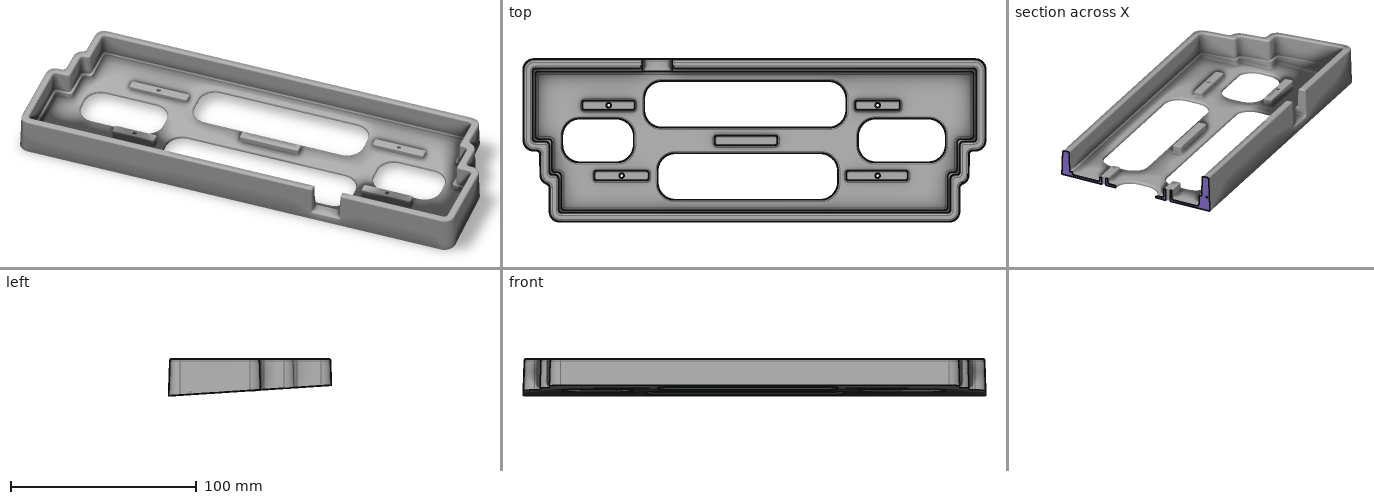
import cadquery as cq
import math

LENGTH = 249.5
WIDTH = 87.8
HEIGHT = 20.0
FRONT_LIFT = 5.7
SLOPE = FRONT_LIFT / WIDTH
OVERSHOOT = 2.5

DRAFT = 2.0
LEAN = math.tan(math.radians(DRAFT))

OUTER_RADIUS = 6.0
NOOK_RADIUS = 1.7
BACK_HALF = LENGTH / 2 + OUTER_RADIUS * SLOPE * LEAN
MIDDLE_HALF = 115.8
FRONT_HALF = 110.8
BACK_Y = WIDTH / 2
FRONT_Y = -WIDTH / 2 - FRONT_LIFT * LEAN
BACK_STEP_Y = -5.7
FRONT_STEP_Y = -23.7

RIM_ROUND = 1.0
RIM_INSET = 4.7
LEDGE_Z = 8.5
LEDGE_INSET = 6.5
CAVITY_CORNER = 2.0
FLOOR_THICKNESS = 1.5
FLOOR_ROUND = 1.5
FLOOR_EDGE_ROUND = 1.0

NOTCH_LEFT = -60.5
NOTCH_RIGHT = -44.5
NOTCH_SILL = 3.0
NOTCH_ROUND = 1.0

WINDOW_RADIUS = 9.2
WINDOWS = [
    (-59.5, 49.5, 7.0, 32.0),
    (-52.1, 45.0, -32.0, -7.0),
    (-103.5, -65.0, -11.7, 11.7),
    (56.0, 103.0, -11.7, 11.7),
]

RIB_WIDTH = 5.0
RIB_CORNER = 1.0
RIB_TOP_ROUND = 0.5
HOLE_DIAMETER = 2.42
RIBS = [
    (-92.8, -64.5, 19.0, -78.5),
    (54.5, 78.3, 19.0, 66.4),
    (-86.3, -57.1, -19.0, -71.5),
    (49.5, 82.5, -19.0, 66.4),
    (-21.5, 12.2, 0.0, None),
]


def underside_z(y):
    return (BACK_Y - y) * SLOPE


def block(left, right, front, back, bottom, top):
    box = cq.Workplane("XY").box(right - left, back - front, top - bottom, centered=False)
    return box.translate((left, front, bottom))


def above_slope(height):
    """Block that fills everything above the underside plane raised by the height."""
    profile = [
        (-WIDTH, underside_z(-WIDTH) + height),
        (WIDTH, underside_z(WIDTH) + height),
        (WIDTH, 2 * HEIGHT),
        (-WIDTH, 2 * HEIGHT),
    ]
    return cq.Workplane("YZ").polyline(profile).close().extrude(LENGTH, both=True)


def step_points(x_out, x_in, y, convex, nook):
    """Start, middle and end of the two arcs of a step on the +X side, from front to back.

    The step face lies at y. Where the step is too narrow for two quarter arcs,
    the arcs turn less and run straight into each other.
    """
    reach = convex + nook
    turn = math.acos(max(0.0, 1 - (x_out - x_in) / reach))
    rise = reach * math.sin(turn)
    y_start = y - nook + (reach - rise) * nook / reach
    y_end = y_start + rise

    def on_nook(angle):
        return (x_in + nook * (1 - math.cos(angle)), y_start + nook * math.sin(angle))

    def on_convex(angle):
        return (x_out - convex * (1 - math.cos(angle)), y_end - convex * math.sin(angle))

    nook_arc = [on_nook(0), on_nook(turn / 2), on_nook(turn)]
    convex_arc = [on_convex(turn), on_convex(turn / 2), on_convex(0)]
    return nook_arc + convex_arc


def outline(inset, convex, nook, z):
    """Closed stepped outline at height z, moved inwards by the inset."""
    back = BACK_Y - inset
    front = FRONT_Y + inset
    x_back = BACK_HALF - inset
    x_middle = MIDDLE_HALF - inset
    x_front = FRONT_HALF - inset
    bend = convex * (1 - math.sqrt(0.5))

    right = [(x_front - convex, front), (x_front - bend, front + bend), (x_front, front + convex)]
    right += step_points(x_middle, x_front, FRONT_STEP_Y + inset, convex, nook)
    right += step_points(x_back, x_middle, BACK_STEP_Y + inset, convex, nook)
    right += [(x_back, back - convex), (x_back - bend, back - bend), (x_back - convex, back)]
    points = right + [(-x, y) for x, y in reversed(right)]

    tolerance = 2.49e-06
    here = points[0]
    path = cq.Workplane("XY").workplane(offset=z).moveTo(*here)
    for start, middle, end in zip(points[0::3], points[1::3], points[2::3]):
        if math.dist(here, start) > tolerance:
            path = path.lineTo(*start)
        path = path.threePointArc(middle, end)
        here = end
    return path.close()


def make_body():
    body = outline(0, OUTER_RADIUS, NOOK_RADIUS, 0).extrude(HEIGHT, taper=DRAFT)
    return body.intersect(above_slope(0))


def make_cavity():
    """Upper cavity down to the level ledge and a smaller one below it down to the sloping floor."""
    upper = outline(RIM_INSET, CAVITY_CORNER, NOOK_RADIUS, HEIGHT).extrude(LEDGE_Z - HEIGHT, taper=DRAFT)
    lower = outline(LEDGE_INSET, CAVITY_CORNER, NOOK_RADIUS, LEDGE_Z).extrude(-LEDGE_Z, taper=DRAFT)
    lower = lower.intersect(above_slope(FLOOR_THICKNESS))
    lower = lower.faces("<Z").edges().fillet(FLOOR_ROUND)
    return upper.union(lower)


def make_notch():
    """Notch cutter with a sill parallel to the floor and rounded lower corners."""
    front = BACK_Y - LEDGE_INSET - OVERSHOOT
    cutter = block(NOTCH_LEFT, NOTCH_RIGHT, front, BACK_Y + OVERSHOOT, 0, HEIGHT + OVERSHOOT)
    cutter = cutter.intersect(above_slope(FLOOR_THICKNESS + NOTCH_SILL))
    return cutter.faces("<Z").edges("not #Y").fillet(NOTCH_ROUND)


def round_rim(body):
    """Round the rim on both sides, and the outer edge of the notch with it."""
    notch_middle = (NOTCH_LEFT + NOTCH_RIGHT) / 2
    sill_point = (notch_middle, BACK_Y, FLOOR_THICKNESS + NOTCH_SILL)
    sill = body.edges(cq.selectors.NearestToPointSelector(sill_point))
    return body.faces(">Z").edges().add(sill).fillet(RIM_ROUND)


def make_rib(left, right, y):
    """Rib with a level, rounded top that starts inside the floor."""
    rib = block(left, right, y - RIB_WIDTH / 2, y + RIB_WIDTH / 2, underside_z(y), LEDGE_Z)
    return rib.edges("|Z").fillet(RIB_CORNER).faces(">Z").edges().fillet(RIB_TOP_ROUND)


def make_window(left, right, front, back):
    return block(left, right, front, back, -OVERSHOOT, HEIGHT).edges("|Z").fillet(WINDOW_RADIUS)


def round_floor_edges(body):
    """Round the feet of the ribs and the upper edges of the windows."""
    tolerance = 1e-4
    floor_normal = cq.Vector(0, SLOPE, 1).normalized()
    sloping = [face for face in body.faces().vals() if (face.normalAt() - floor_normal).Length < tolerance]
    floor = max(sloping, key=lambda face: face.Area())
    edges = [edge for wire in floor.innerWires() for edge in wire.Edges()]
    return body.newObject(edges).fillet(FLOOR_EDGE_ROUND)


tray = make_body().cut(make_cavity()).cut(make_notch())
tray = round_rim(tray)
for rib_left, rib_right, rib_y, _ in RIBS:
    tray = tray.union(make_rib(rib_left, rib_right, rib_y))
for window in WINDOWS:
    tray = tray.cut(make_window(*window))
tray = round_floor_edges(tray)
for _, _, rib_y, hole_x in RIBS:
    if hole_x is not None:
        tray = tray.cut(cq.Workplane("XY").center(hole_x, rib_y).circle(HOLE_DIAMETER / 2).extrude(HEIGHT))

result = tray